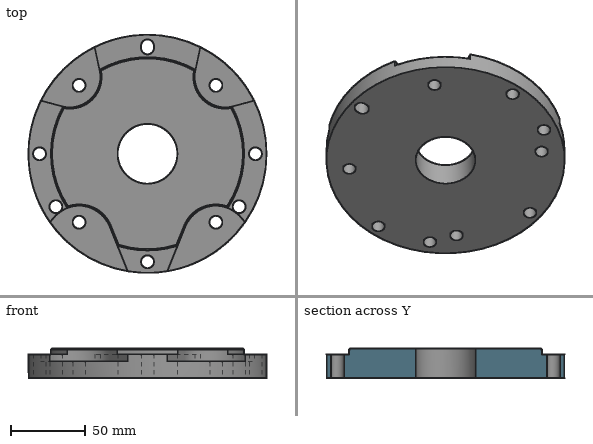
import math

import cadquery as cq

flange_diameter = 160
hub_diameter = 130.0
bore_diameter = 40
flange_height = 16
total_height = 20.0
pocket_floor = 11.2
hub_chamfer = 1.0

hole_diameter = 8.5
pocket_hole_radius = 65.0
rim_hole_radius = 72.5
triple_hole_radius = 71.0

back_nose_radius = 20.5
back_nose_x = 52.2
back_nose_y = 51.7
back_inner_tilt = 12
back_outer_tilt = 15
front_nose_radius = 22.0
front_nose_x = 46.0
front_nose_y = -57.0
front_inner_tilt = 22
front_outer_tilt = 40
pocket_reach = 48


def polar(radius, angle):
    """Point at an angle in degrees, counterclockwise from +X."""
    return (radius * math.cos(math.radians(angle)), radius * math.sin(math.radians(angle)))


def shifted(point, distance, angle):
    """Point moved by a distance in the direction of an angle in degrees."""
    step = polar(distance, angle)
    return (point[0] + step[0], point[1] + step[1])


def pocket_cutter(center, nose_radius, first_normal, last_normal):
    """Open pocket: an arc about center between two normals, with tangent sides that run outwards.

    It flares at 45 degrees near the top to chamfer the hub along the pocket wall.
    """
    first = shifted(center, nose_radius, first_normal)
    middle = shifted(center, nose_radius, (first_normal + last_normal) / 2)
    last = shifted(center, nose_radius, last_normal)
    first_outer = shifted(first, pocket_reach, first_normal - 90)
    last_outer = shifted(last, pocket_reach, last_normal + 90)

    def outline(height):
        plane = cq.Workplane("XY").workplane(offset=height)
        path = plane.moveTo(*first_outer).lineTo(*first).threePointArc(middle, last)
        return path.lineTo(*last_outer).close()

    recess = outline(pocket_floor).extrude(total_height - pocket_floor)
    flare = outline(total_height - hub_chamfer).extrude(hub_chamfer, taper=-45)
    return recess.union(flare)


def hole_ring(radius, count, start_angle):
    """Centres of holes spaced evenly on a circle."""
    return [polar(radius, start_angle + index * 360 / count) for index in range(count)]


body = cq.Workplane("XY").circle(flange_diameter / 2).extrude(flange_height)
hub = cq.Workplane("XY").circle(hub_diameter / 2).extrude(total_height)
hub = hub.faces(">Z").edges().chamfer(hub_chamfer)
body = body.union(hub)

back_pocket = pocket_cutter(
    (back_nose_x, back_nose_y),
    back_nose_radius,
    180 - back_inner_tilt,
    270 + back_outer_tilt,
)
front_pocket = pocket_cutter(
    (front_nose_x, front_nose_y),
    front_nose_radius,
    front_outer_tilt,
    180 - front_inner_tilt,
)
for pocket in (back_pocket, front_pocket):
    body = body.cut(pocket).cut(pocket.mirror("YZ"))

body = body.cut(cq.Workplane("XY").circle(bore_diameter / 2).extrude(total_height))
hole_centers = (
    hole_ring(pocket_hole_radius, 4, 45)
    + hole_ring(rim_hole_radius, 4, 0)
    + hole_ring(triple_hole_radius, 3, 90)
)
for center in hole_centers:
    body = body.cut(cq.Workplane("XY").center(*center).circle(hole_diameter / 2).extrude(total_height))

result = body